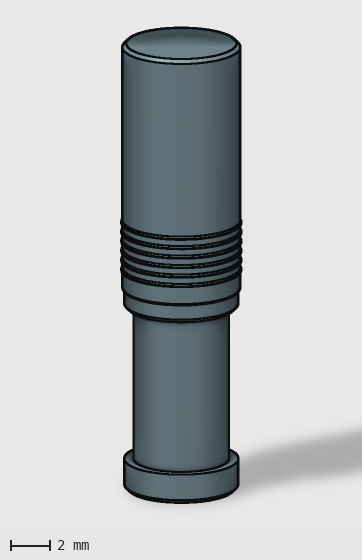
import cadquery as cq

total_length = 23.5

head_radius = 5.8 / 2
head_length = 1.55
head_chamfer = 0.2

shank_radius = 4.85 / 2
shank_top = 9.55

collar_radius = head_radius
collar_top = 10.5
collar_chamfer = 0.2

body_radius = 6.0 / 2
rim_chamfer = 0.2
bevel_height = 0.1

rib_radius = 6.1 / 2
rib_count = 6
rib_pitch = 0.5
lowest_rib_bottom = 11.5
rib_height = 0.165
rib_lower_taper = 0.03
rib_land_height = 0.02


def cylinder(radius, bottom, top):
    """Cylinder on the Z axis between two heights."""
    return cq.Workplane("XY").workplane(offset=bottom).circle(radius).extrude(top - bottom)


def make_head():
    return cylinder(head_radius, 0, head_length).faces("<Z").chamfer(head_chamfer)


def make_shank():
    return cylinder(shank_radius, head_length, shank_top)


def make_collar():
    return cylinder(collar_radius, shank_top, collar_top).faces("<Z").chamfer(collar_chamfer)


def make_bevel():
    """Cone that widens from the collar to the body."""
    bevel = cq.Solid.makeCone(collar_radius, body_radius, bevel_height, cq.Vector(0, 0, collar_top))
    return cq.Workplane(obj=bevel)


def make_body():
    return cylinder(body_radius, collar_top + bevel_height, total_length).faces(">Z").chamfer(rim_chamfer)


def make_rib(bottom):
    """Solid disc with a narrow land, tapered below and more gently above, proud of the body."""
    land_bottom = bottom + rib_lower_taper
    top = bottom + rib_height
    return (
        cq.Workplane("XZ")
        .moveTo(0, bottom)
        .lineTo(body_radius, bottom)
        .lineTo(rib_radius, land_bottom)
        .lineTo(rib_radius, land_bottom + rib_land_height)
        .lineTo(body_radius, top)
        .lineTo(0, top)
        .close()
        .revolve(360, (0, 0, 0), (0, 1, 0))
    )


result = make_head().union(make_shank()).union(make_collar())
result = result.union(make_bevel()).union(make_body())
for rib_index in range(rib_count):
    result = result.union(make_rib(lowest_rib_bottom + rib_index * rib_pitch))